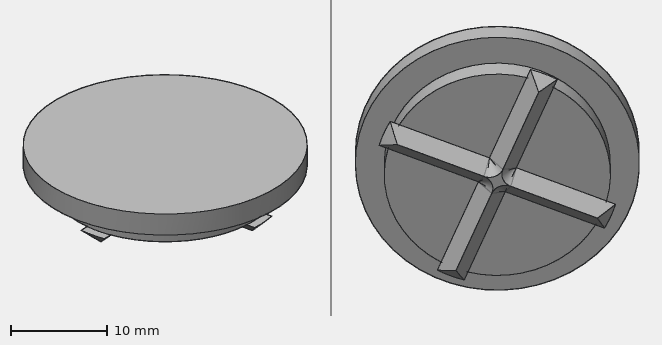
import cadquery as cq
import math

plate_diameter = 29.45
plate_height = 2.5

neck_diameter = 23.45
neck_height = 2.5

cross_height = 1.5
cross_slope = 45
keel_half_width = 0.005
bar_half_width = cross_height * math.tan(math.radians(cross_slope)) + keel_half_width
tip_overhang = 1.0
tip_radius = neck_diameter / 2 + tip_overhang

neck_bottom = cross_height
plate_bottom = neck_bottom + neck_height


def disc(diameter, height, bottom):
    """Round disc standing on the given level."""
    return cq.Workplane("XY").workplane(offset=bottom).circle(diameter / 2).extrude(height)


def tapered_cross():
    """Cross with round bar ends, narrowing downwards on every side; the inner corners become cones."""
    bar_length = 2 * tip_radius
    bar_width = 2 * bar_half_width
    bar_along_x = cq.Workplane("XY").rect(bar_length, bar_width).extrude(cross_height)
    bar_along_y = cq.Workplane("XY").rect(bar_width, bar_length).extrude(cross_height)
    round_limit = disc(2 * tip_radius, cross_height, 0)
    upright_cross = bar_along_x.union(bar_along_y).intersect(round_limit)
    outline = upright_cross.faces(">Z").wires()
    return outline.toPending().extrude(-cross_height, taper=cross_slope, combine=False)


neck = disc(neck_diameter, neck_height, neck_bottom)
plate = disc(plate_diameter, plate_height, plate_bottom)
result = plate.union(neck).union(tapered_cross())